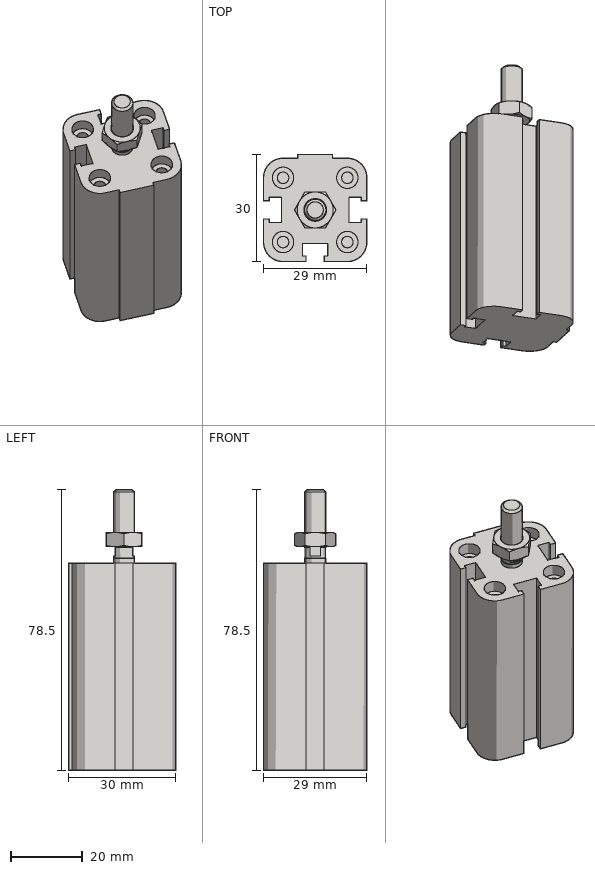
import cadquery as cq
import math

housing_width = 29.0
housing_height = 58.0
rail_width = 9.8
rail_height = 1.0

slot_opening = 5.0
slot_width = 7.0
slot_depth = 5.0
slot_lip = 1.65

hole_spacing = 18.0
corner_radius = (housing_width - hole_spacing) / 2
counterbore_diameter = 6.0
counterbore_depth = 3.5
hole_diameter = 3.2
hole_depth = 12.5

rod_top = 78.5
rod_diameter = 6.0
rod_chamfer_width = 0.7
rod_chamfer_height = 0.6
neck_bottom = 59.3
neck_top = 62.4
neck_taper_height = 0.15
neck_diameter = 5.8
flats_bottom = 60.0
flats_across = 5.0

nut_bottom = 62.6
nut_height = 4.0
nut_across_flats = 10.05
nut_across_corners = nut_across_flats / math.cos(math.pi / 6)
nut_chamfer_height = 0.4
nut_countersink_diameter = 6.35
nut_countersink_depth = (nut_countersink_diameter - rod_diameter) / 2


def make_slot():
    """T-shaped slot in the -Y side, running the full height of the housing."""
    face = -housing_width / 2
    opening = cq.Workplane("XY").box(
        slot_opening, slot_depth, housing_height, centered=(True, False, False)
    )
    pocket = cq.Workplane("XY").box(
        slot_width, slot_depth - slot_lip, housing_height, centered=(True, False, False)
    )
    return opening.union(pocket.translate((0, slot_lip, 0))).translate((0, face, 0))


def make_housing():
    """Slotted housing standing on Z = 0 with a blind counterbored hole in each corner."""
    housing = (
        cq.Workplane("XY")
        .rect(housing_width, housing_width)
        .extrude(housing_height)
        .edges("|Z")
        .fillet(corner_radius)
    )
    rail = cq.Workplane("XY").box(
        rail_width, housing_width / 2 + rail_height, housing_height, centered=(True, False, False)
    )
    housing = housing.union(rail)
    for angle in (-90, 0, 90):
        housing = housing.cut(make_slot().rotate((0, 0, 0), (0, 0, 1), angle))
    return (
        housing.faces(">Z")
        .workplane(origin=(0, 0, housing_height))
        .rect(hole_spacing, hole_spacing, forConstruction=True)
        .vertices()
        .cboreHole(hole_diameter, counterbore_diameter, counterbore_depth, hole_depth)
    )


def make_rod():
    """Stepped rod standing on the top face of the housing."""
    radius = rod_diameter / 2
    neck_radius = neck_diameter / 2
    section = [
        (0, housing_height),
        (radius, housing_height),
        (radius, neck_bottom),
        (neck_radius, neck_bottom + neck_taper_height),
        (neck_radius, neck_top),
        (radius, neck_top),
        (radius, rod_top - rod_chamfer_height),
        (radius - rod_chamfer_width, rod_top),
        (0, rod_top),
    ]
    rod = cq.Workplane("XZ").polyline(section).close().revolve(360, (0, 0), (0, 1))

    flat_cutter = cq.Workplane("XY").box(
        rod_diameter, rod_diameter, nut_bottom - flats_bottom, centered=(True, True, False)
    )
    flat_offset = (flats_across + rod_diameter) / 2
    for side in (-1, 1):
        rod = rod.cut(flat_cutter.translate((0, side * flat_offset, flats_bottom)))
    return rod


def make_nut():
    """Hexagon nut with chamfered corners and a bore countersunk at both ends."""
    hexagon = cq.Workplane("XY").polygon(6, nut_across_corners).extrude(nut_height)
    bore_radius = rod_diameter / 2
    countersink_radius = nut_countersink_diameter / 2
    face_radius = nut_across_flats / 2
    corner_reach = nut_across_corners / 2
    section = [
        (bore_radius, nut_countersink_depth),
        (countersink_radius, 0),
        (face_radius, 0),
        (corner_reach, nut_chamfer_height),
        (corner_reach, nut_height - nut_chamfer_height),
        (face_radius, nut_height),
        (countersink_radius, nut_height),
        (bore_radius, nut_height - nut_countersink_depth),
    ]
    turned_ring = cq.Workplane("XZ").polyline(section).close().revolve(360, (0, 0), (0, 1))
    return hexagon.intersect(turned_ring).translate((0, 0, nut_bottom))


housing = make_housing()
rod = make_rod()
nut = make_nut()

result = cq.Compound.makeCompound([housing.val(), rod.val(), nut.val()])